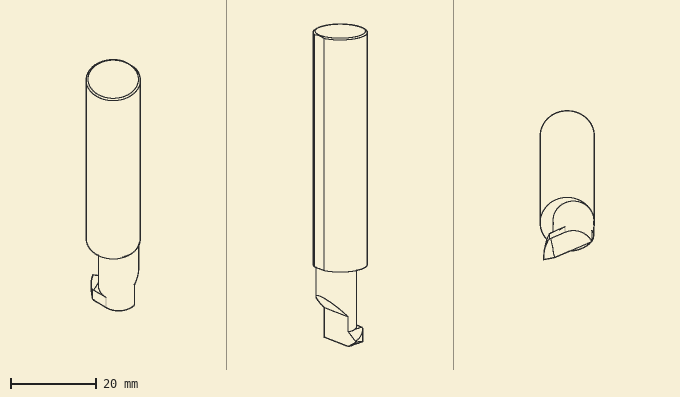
import cadquery as cq
import math

overall_length = 76.2
shank_diameter = 12.7
shank_radius = shank_diameter / 2
shank_bottom = 19.3
flat_depth = 0.3
chamfer_height = 0.3
chamfer_inset = 0.45

neck_diameter = 9.5
neck_radius = neck_diameter / 2
neck_x = shank_radius - neck_radius
relief_start = 7.25

head_height = 3.65
tip_x = -6.1
tip_flat = 0.2
tooth_half_angle = 30.0
flank_relief = 0.6
heel_x = -2.45
heel_y = -neck_radius
clearance_mid = (-4.6, -2.6)


def make_shank():
    shank = cq.Workplane("XY").workplane(offset=shank_bottom).circle(shank_radius)
    shank = shank.extrude(overall_length - shank_bottom)
    shank = shank.faces(">Z").chamfer(chamfer_height, chamfer_inset)
    flat_y = shank_radius - flat_depth
    flat_cutter = cq.Workplane("XY").box(
        shank_diameter, shank_diameter, overall_length, centered=(True, False, False)
    )
    return shank.cut(flat_cutter.translate((0, flat_y, 0)))


def make_neck():
    neck = cq.Workplane("XY").center(neck_x, 0).circle(neck_radius).extrude(shank_bottom)
    relief_top = relief_start + shank_radius
    relief = (
        cq.Workplane("YZ")
        .polyline([(0, 0), (0, relief_start), (shank_radius, relief_top), (shank_radius, 0)])
        .close()
        .extrude(shank_radius, both=True)
    )
    return neck.cut(relief)


def make_head():
    plan = (
        cq.Workplane("XY")
        .moveTo(tip_x, 0)
        .threePointArc(clearance_mid, (heel_x, heel_y))
        .lineTo(neck_x, heel_y)
        .lineTo(neck_x, 0)
        .close()
        .extrude(head_height)
    )
    flank_rise = (neck_x - tip_x) * math.tan(math.radians(tooth_half_angle))
    tip_half = tip_flat / 2
    heel_shift = flank_relief / math.tan(math.radians(tooth_half_angle))

    def section(workplane, shift):
        return (
            workplane.moveTo(tip_x + shift, head_height / 2 - tip_half)
            .lineTo(tip_x + shift, head_height / 2 + tip_half)
            .lineTo(neck_x + shift, head_height / 2 + tip_half + flank_rise)
            .lineTo(neck_x + shift, head_height / 2 - tip_half - flank_rise)
            .close()
        )

    tooth = section(cq.Workplane("XZ"), 0)
    tooth = section(tooth.workplane(offset=neck_radius), heel_shift).loft(ruled=True)
    return plan.intersect(tooth)


result = make_shank().union(make_neck()).union(make_head())